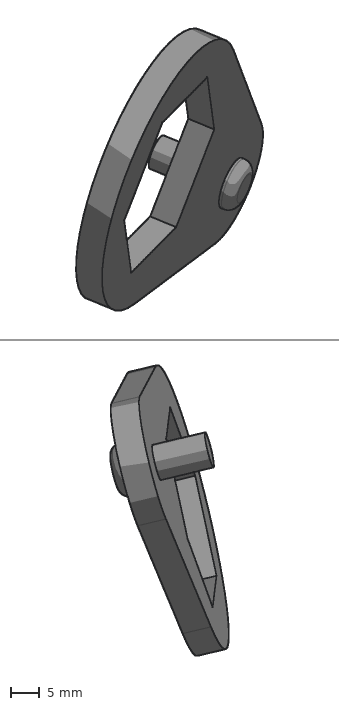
import cadquery as cq
import math

plate_thickness = 5.1
large_end_radius = 25.45
small_end_radius = 12.0
large_end_y = -23.5
large_end_z = 29.9

hex_corner_diameter = 36.65

pin_diameter = 6.3
pin_length = 9.5
head_diameter = 9.5
head_height = 2.5
head_fillet = 2.0

center_distance = math.hypot(large_end_y, large_end_z)
axis_angle = math.atan2(large_end_z, large_end_y)
tangent_angle = math.acos((small_end_radius - large_end_radius) / center_distance)


def point_on_small_end(angle):
    return (small_end_radius * math.cos(angle), small_end_radius * math.sin(angle))


def point_on_large_end(angle):
    return (
        large_end_y + large_end_radius * math.cos(angle),
        large_end_z + large_end_radius * math.sin(angle),
    )


def make_plate():
    """Two round ends joined by their outer tangent lines."""
    first_tangent = axis_angle - tangent_angle
    second_tangent = axis_angle + tangent_angle
    return (
        cq.Workplane("YZ")
        .moveTo(*point_on_small_end(first_tangent))
        .lineTo(*point_on_large_end(first_tangent))
        .threePointArc(point_on_large_end(axis_angle), point_on_large_end(second_tangent))
        .lineTo(*point_on_small_end(second_tangent))
        .threePointArc(point_on_small_end(axis_angle + math.pi), point_on_small_end(first_tangent))
        .close()
        .extrude(plate_thickness)
    )


def make_hex_opening():
    """Hexagon around the large end, two corners square to the line to the pin."""
    corner_angle = math.degrees(axis_angle) + 90
    return (
        cq.Workplane("YZ")
        .polygon(6, hex_corner_diameter)
        .extrude(plate_thickness)
        .rotate((0, 0, 0), (1, 0, 0), corner_angle)
        .translate((0, large_end_y, large_end_z))
    )


def make_pin():
    return cq.Workplane("YZ").circle(pin_diameter / 2).extrude(-pin_length)


def make_head():
    """Button head on the far face of the plate, rounded at its outer rim."""
    return (
        cq.Workplane("YZ")
        .workplane(offset=plate_thickness)
        .circle(head_diameter / 2)
        .extrude(head_height)
        .faces(">X")
        .edges()
        .fillet(head_fillet)
    )


result = make_plate().cut(make_hex_opening()).union(make_pin()).union(make_head())